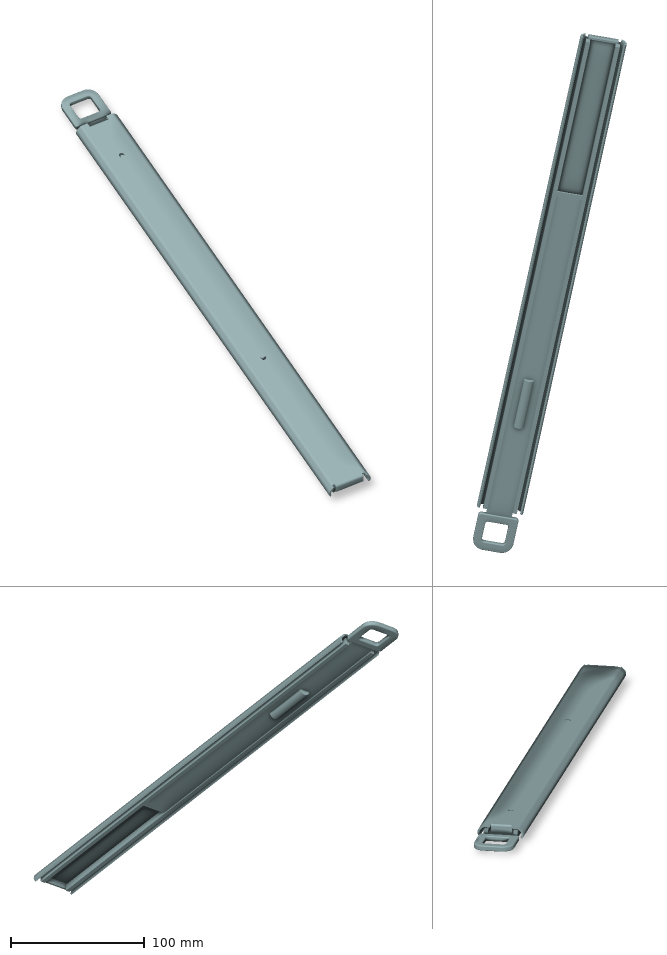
import cadquery as cq
import math

TOTAL_LENGTH = 441.5
TOTAL_HEIGHT = 11.5

RAIL_START = 35.0
RAIL_HALF_WIDTH = 17.5
SHEET = 1.55
SHOULDER_BEND_RADIUS = 3.5
CURL_RADIUS = 4.5
CURL_CENTER_Z = 5.7
TAB_BOTTOM = 5.5
FRONT_TAB_HALF_WIDTH = 8.0
FRONT_NOTCH_DEPTH = 3.0
REAR_TAB_HALF_WIDTH = 11.5
REAR_SLIT_DEPTH = 2.5
REAR_SLIT_WIDTH = 2.0

PIN_RADIUS = 2.0
PIN_POSITIONS = (77.0, 300.5)
SLOT_TRAVEL = 2.0

STRAP_BOTTOM = 3.75
STRAP_THICKNESS = 1.5
STRAP_HALF_WIDTH = 9.5
STRAP_END = 309.0
RING_LENGTH = 30.5
RING_HALF_WIDTH = 15.25
RING_THICKNESS = 4.0
RING_FRONT_RADIUS = 9.0
RING_REAR_RADIUS = 2.0
RING_ROUNDING = 1.0
OPENING_START = 7.0
OPENING_END = 24.3
OPENING_HALF_WIDTH = 9.0
OPENING_RADIUS = 2.0

RUNNER_WIDTH = 3.0
RUNNER_BOTTOM = 2.5
RUNNER_TOP = 8.0

FOOT_START = 107.5
FOOT_END = 148.5
FOOT_RADIUS = STRAP_BOTTOM

WEB_UNDERSIDE = TOTAL_HEIGHT - SHEET
SHOULDER_DIAGONAL = math.sqrt(0.5)
CURL_CENTER_Y = RAIL_HALF_WIDTH - CURL_RADIUS
BEND_CENTER_Z = TOTAL_HEIGHT - SHOULDER_BEND_RADIUS
BEND_CENTER_Y = (
    CURL_CENTER_Y
    + CURL_CENTER_Z
    - BEND_CENTER_Z
    + (CURL_RADIUS - SHOULDER_BEND_RADIUS) / SHOULDER_DIAGONAL
)
STRAP_TOP = STRAP_BOTTOM + STRAP_THICKNESS
FRONT_NOTCH_END = RAIL_START + FRONT_NOTCH_DEPTH
REAR_SLIT_START = TOTAL_LENGTH - REAR_SLIT_DEPTH


def block(x_range, y_range, z_range):
    """Box between the given limits along each axis."""
    (x0, x1), (y0, y1), (z0, z1) = x_range, y_range, z_range
    return cq.Workplane("XY").box(x1 - x0, y1 - y0, z1 - z0, centered=False).translate((x0, y0, z0))


def on_circle(center_y, center_z, radius, degrees):
    """Point (y, z) on a circle, with the angle measured upward from +Y."""
    angle = math.radians(degrees)
    return (center_y + radius * math.cos(angle), center_z + radius * math.sin(angle))


def mirrored(point):
    return (-point[0], point[1])


def rail_section():
    """Closed outline of the folded sheet across the rail."""

    def bend(inset, degrees):
        return on_circle(BEND_CENTER_Y, BEND_CENTER_Z, SHOULDER_BEND_RADIUS - inset, degrees)

    def curl(inset, degrees):
        return on_circle(CURL_CENTER_Y, CURL_CENTER_Z, CURL_RADIUS - inset, degrees)

    section = cq.Workplane("YZ", origin=(RAIL_START, 0, 0)).moveTo(*mirrored(bend(0, 90)))
    section = (
        section.lineTo(*bend(0, 90))
        .threePointArc(bend(0, 67.5), bend(0, 45))
        .lineTo(*curl(0, 45))
        .threePointArc(curl(0, 0), curl(0, -45))
    )
    section = (
        section.lineTo(*curl(SHEET, -45))
        .threePointArc(curl(SHEET, 0), curl(SHEET, 45))
        .lineTo(*bend(SHEET, 45))
        .threePointArc(bend(SHEET, 67.5), bend(SHEET, 90))
        .lineTo(*mirrored(bend(SHEET, 90)))
        .threePointArc(mirrored(bend(SHEET, 67.5)), mirrored(bend(SHEET, 45)))
        .lineTo(*mirrored(curl(SHEET, 45)))
        .threePointArc(mirrored(curl(SHEET, 0)), mirrored(curl(SHEET, -45)))
    )
    return (
        section.lineTo(*mirrored(curl(0, -45)))
        .threePointArc(mirrored(curl(0, 0)), mirrored(curl(0, 45)))
        .lineTo(*mirrored(bend(0, 45)))
        .threePointArc(mirrored(bend(0, 67.5)), mirrored(bend(0, 90)))
        .close()
    )


def end_tab(outer_x, inward, half_width):
    """Leg folded down from the web, with its outer face at outer_x and a bend of one sheet thickness."""
    inner_x = outer_x + inward * SHEET
    arc_middle = SHEET * (1 - SHOULDER_DIAGONAL)
    return (
        cq.Workplane("XZ", origin=(0, half_width, 0))
        .moveTo(outer_x, TAB_BOTTOM)
        .lineTo(outer_x, TOTAL_HEIGHT - SHEET)
        .threePointArc(
            (outer_x + inward * arc_middle, TOTAL_HEIGHT - arc_middle),
            (inner_x, TOTAL_HEIGHT),
        )
        .lineTo(inner_x, TAB_BOTTOM)
        .close()
        .extrude(2 * half_width)
    )


def make_rail():
    rail = rail_section().extrude(TOTAL_LENGTH - RAIL_START)
    web_range = (CURL_CENTER_Z, TOTAL_HEIGHT)

    front_range = (RAIL_START, FRONT_NOTCH_END + SHEET)
    front_half = (-FRONT_TAB_HALF_WIDTH, FRONT_TAB_HALF_WIDTH)
    rail = rail.cut(block(front_range, front_half, web_range))
    rail = rail.union(end_tab(FRONT_NOTCH_END, 1, FRONT_TAB_HALF_WIDTH))

    slit_outer = REAR_TAB_HALF_WIDTH + REAR_SLIT_WIDTH
    slit_range = (REAR_SLIT_START, TOTAL_LENGTH)
    for slit_y in ((-slit_outer, -REAR_TAB_HALF_WIDTH), (REAR_TAB_HALF_WIDTH, slit_outer)):
        rail = rail.cut(block(slit_range, slit_y, web_range))
    rear_range = (TOTAL_LENGTH - SHEET, TOTAL_LENGTH)
    rail = rail.cut(block(rear_range, (-REAR_TAB_HALF_WIDTH, REAR_TAB_HALF_WIDTH), web_range))
    rail = rail.union(end_tab(TOTAL_LENGTH, -1, REAR_TAB_HALF_WIDTH))

    for pin_x, direction in zip(PIN_POSITIONS, (-1, 1)):
        slot = (
            cq.Workplane("XY", origin=(pin_x + direction * SLOT_TRAVEL / 2, 0, WEB_UNDERSIDE))
            .slot2D(SLOT_TRAVEL + 2 * PIN_RADIUS, 2 * PIN_RADIUS)
            .extrude(SHEET)
        )
        rail = rail.cut(slot)
    return rail


def make_handle():
    ring_bottom = STRAP_BOTTOM + (STRAP_THICKNESS - RING_THICKNESS) / 2
    ring_range = (ring_bottom, ring_bottom + RING_THICKNESS)
    ring = block((0, RING_LENGTH), (-RING_HALF_WIDTH, RING_HALF_WIDTH), ring_range)
    ring = ring.edges("|Z and <X").fillet(RING_FRONT_RADIUS)
    ring = ring.edges("|Z and >X").fillet(RING_REAR_RADIUS)
    opening = block(
        (OPENING_START, OPENING_END), (-OPENING_HALF_WIDTH, OPENING_HALF_WIDTH), ring_range
    )
    ring = ring.cut(opening.edges("|Z").fillet(OPENING_RADIUS))
    ring = ring.faces("<Z or >Z").edges().fillet(RING_ROUNDING)

    strap = block(
        (RING_LENGTH - RING_REAR_RADIUS, STRAP_END),
        (-STRAP_HALF_WIDTH, STRAP_HALF_WIDTH),
        (STRAP_BOTTOM, STRAP_TOP),
    )
    return ring.union(strap)


def make_pin(pin_x):
    """Round pin standing on the strap, flush with the top of the web."""
    return (
        cq.Workplane("XY", origin=(pin_x, 0, STRAP_TOP))
        .circle(PIN_RADIUS)
        .extrude(TOTAL_HEIGHT - STRAP_TOP)
    )


def make_runner(side):
    """Bar against the strap edge, on the +Y (1) or -Y (-1) side."""
    edges = sorted((side * STRAP_HALF_WIDTH, side * (STRAP_HALF_WIDTH + RUNNER_WIDTH)))
    return block((RAIL_START, REAR_SLIT_START), edges, (RUNNER_BOTTOM, RUNNER_TOP))


def make_foot():
    """Half-round pad with its flat side against the strap underside."""
    return (
        cq.Workplane("YZ", origin=(FOOT_START, 0, FOOT_RADIUS))
        .moveTo(-FOOT_RADIUS, 0)
        .threePointArc((0, -FOOT_RADIUS), (FOOT_RADIUS, 0))
        .close()
        .extrude(FOOT_END - FOOT_START)
    )


rail = make_rail()
handle = make_handle()
pins = [make_pin(pin_x) for pin_x in PIN_POSITIONS]
runners = [make_runner(side) for side in (1, -1)]
foot = make_foot()

result = cq.Compound.makeCompound(
    [
        rail.val(),
        handle.val(),
        *[pin.val() for pin in pins],
        *[runner.val() for runner in runners],
        foot.val(),
    ]
)